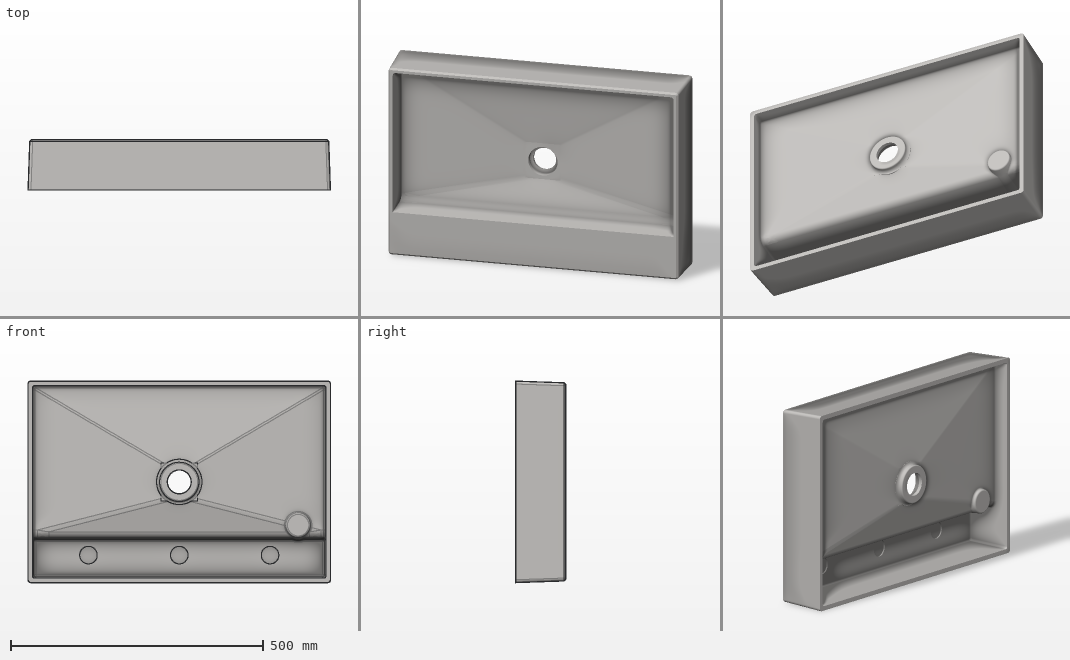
import cadquery as cq
import math

TOLERANCE = 0.1

LENGTH = 600.0
WIDTH = LENGTH * 2 / 3
DEPTH = LENGTH / 6
WALL = 9.0
DRAFT = 2.0
CORNER_RADIUS = 6.0
OPENING_RADIUS = 5.0
ROOT_RADIUS = 3.5
WALL_ZONE = 15.0
RIM_CHAMFER = 3.5

UNDERSIDE_Y = -DEPTH / 2
TOP_Y = DEPTH / 2
DECK_Y = TOP_Y - WALL
DRAFT_INSET = DEPTH * math.tan(math.radians(DRAFT))

FLOOR_EDGE_Y = -18.5
FLOOR_DRAIN_Y = -36.5
FLOOR_HALF_LENGTH = 317.0
FLOOR_TOP_Z = 203.0
FLOOR_BOTTOM_Z = -109.0
DRAIN_FLAT_LENGTH = 72.0
DRAIN_FLAT_WIDTH = 75.5
VALLEY_RADIUS = 36.0
BACK_WALL_DRAFT = 6.0
BACK_WALL_ROUND = 15.0

DRAIN_FACE_Y = -48.5
DRAIN_HOLE_RADIUS = 23.5
OUTLET_THICKNESS = 7.0
COLLAR_RADIUS = 39.0
COLLAR_ROOT_RADIUS = 6.0
COLLAR_EDGE_RADIUS = 2.5

OVERFLOW_X = 236.0
OVERFLOW_Z = -86.0
OVERFLOW_FACE_Y = -32.5
OVERFLOW_RADIUS = 24.0
OVERFLOW_EDGE_RADIUS = 3.0
OVERFLOW_ROOT_RADIUS = 2.5

TAP_SPACING = 180.0
TAP_Z = -145.0
TAP_RADIUS = 17.5
TAP_DEPTH = 3.0


def drafted_box(length, width, radius, y_start, y_end):
    """Round-cornered box that narrows by the draft angle from y_start to y_end."""
    direction = math.copysign(1, y_end - y_start)
    plane = cq.Plane(origin=(0, y_start, 0), xDir=(1, 0, 0), normal=(0, direction, 0))
    box = cq.Workplane(plane).rect(length, width).extrude(abs(y_end - y_start), taper=DRAFT)
    return box.edges("not(<Y or >Y)").fillet(radius)


def post(radius, y_face, y_root, x=0, z=0, taper=0):
    """Round post along Y, widening by the taper angle from y_face to y_root."""
    plane = cq.Plane(origin=(x, y_face, z), xDir=(1, 0, 0), normal=(0, 1, 0))
    return cq.Workplane(plane).circle(radius).extrude(y_root - y_face, taper=-taper)


def sharp_bowl_form(offset):
    """Solid below the bowl floor with its skin moved inwards by offset and its edges left sharp."""
    edge_y = FLOOR_EDGE_Y + offset
    drain_y = FLOOR_DRAIN_Y + offset
    bottom_z = FLOOR_BOTTOM_Z + offset
    flat_x = DRAIN_FLAT_LENGTH / 2
    flat_z = DRAIN_FLAT_WIDTH / 2
    flare = (TOP_Y - edge_y) * math.tan(math.radians(BACK_WALL_DRAFT))
    lengthwise_points = [
        (-FLOOR_HALF_LENGTH, TOP_Y),
        (-FLOOR_HALF_LENGTH, edge_y),
        (-flat_x, drain_y),
        (flat_x, drain_y),
        (FLOOR_HALF_LENGTH, edge_y),
        (FLOOR_HALF_LENGTH, TOP_Y),
    ]
    crosswise_points = [
        (TOP_Y, bottom_z - flare),
        (edge_y, bottom_z),
        (drain_y, -flat_z),
        (drain_y, flat_z),
        (edge_y, FLOOR_TOP_Z),
        (TOP_Y, FLOOR_TOP_Z),
    ]
    lengthwise = cq.Workplane("XY").polyline(lengthwise_points).close().extrude(WIDTH, both=True)
    crosswise = cq.Workplane("YZ").polyline(crosswise_points).close().extrude(LENGTH, both=True)
    return lengthwise.intersect(crosswise)


def is_valley(edge):
    """True for the edges that run slantwise from the drain's flat to the floor's corners."""
    tangent = edge.tangentAt(0)
    return min(abs(tangent.x), abs(tangent.z)) > TOLERANCE


def bowl_form(offset):
    """Bowl form with rounded valleys and back edge; the flat at the drain stays sharp."""
    form = sharp_bowl_form(offset)
    drain_block = cq.Workplane("XZ").rect(DRAIN_FLAT_LENGTH, DRAIN_FLAT_WIDTH).extrude(DEPTH, both=True)
    drain_flat = form.intersect(drain_block)
    form = form.cut(drain_block)
    form = form.newObject([e for e in form.edges().vals() if is_valley(e)]).fillet(VALLEY_RADIUS)
    back_edge = cq.selectors.NearestToPointSelector((0, FLOOR_EDGE_Y + offset, FLOOR_BOTTOM_Z + offset))
    return form.edges(back_edge).fillet(BACK_WALL_ROUND).union(drain_flat)


def is_floor_root(edge):
    """True for the edges where the bowl floor meets the outer walls."""
    center = edge.Center()
    box = edge.BoundingBox()
    beside_wall = abs(center.x) > LENGTH / 2 - WALL_ZONE or center.z > WIDTH / 2 - WALL_ZONE
    on_floor = box.ymin > FLOOR_DRAIN_Y and box.ymax < 0
    return beside_wall and on_floor and box.zmax > FLOOR_BOTTOM_Z + BACK_WALL_ROUND


def underside_cavity():
    """Hollow between the outer walls, left over by the bowl and the deck."""
    void = drafted_box(LENGTH - 2 * WALL, WIDTH - 2 * WALL, OPENING_RADIUS, UNDERSIDE_Y, DECK_Y)
    cavity = void.cut(bowl_form(0))
    cavity = cavity.newObject([e for e in cavity.edges().vals() if is_floor_root(e)]).fillet(ROOT_RADIUS)
    return cavity.faces(">Y").edges().fillet(ROOT_RADIUS)


def bowl_cavity():
    """Bowl one wall thickness inside the underside's skin, with a recess in the drain collar."""
    inset = 2 * (DRAFT_INSET + WALL)
    mouth = drafted_box(LENGTH - inset, WIDTH - inset, CORNER_RADIUS, TOP_Y, UNDERSIDE_Y)
    recess = post(COLLAR_RADIUS - WALL, DRAIN_FACE_Y + OUTLET_THICKNESS, 0)
    return mouth.intersect(bowl_form(WALL)).union(recess)


def drain_collar():
    """Outlet collar with a rounded face edge and a concave flare at its root."""
    root_radius = COLLAR_RADIUS + COLLAR_ROOT_RADIUS
    buried_y = FLOOR_DRAIN_Y + WALL
    flare_middle = COLLAR_ROOT_RADIUS * (1 - math.sqrt(0.5))
    collar = (
        cq.Workplane("XY")
        .moveTo(0, DRAIN_FACE_Y)
        .lineTo(COLLAR_RADIUS, DRAIN_FACE_Y)
        .lineTo(COLLAR_RADIUS, FLOOR_DRAIN_Y - COLLAR_ROOT_RADIUS)
        .threePointArc(
            (COLLAR_RADIUS + flare_middle, FLOOR_DRAIN_Y - flare_middle),
            (root_radius, FLOOR_DRAIN_Y),
        )
        .lineTo(root_radius, buried_y)
        .lineTo(0, buried_y)
        .close()
        .revolve(360, (0, 0, 0), (0, 1, 0))
    )
    return collar.faces("<Y").edges().fillet(COLLAR_EDGE_RADIUS)


def is_boss_root(edge):
    """True for the edges where the side of the overflow boss meets the bowl and the deck."""
    slope = math.tan(math.radians(BACK_WALL_DRAFT))

    def on_boss_side(point):
        side_radius = OVERFLOW_RADIUS + (point.y - OVERFLOW_FACE_Y) * slope
        return abs(math.hypot(point.x - OVERFLOW_X, point.z - OVERFLOW_Z) - side_radius) < TOLERANCE

    below_face = edge.Center().y > OVERFLOW_FACE_Y + OVERFLOW_EDGE_RADIUS + TOLERANCE
    curved = edge.geomType() != "LINE"
    return below_face and curved and all(on_boss_side(p) for p in edge.positions([0, 0.5, 1]))


def with_overflow_boss(body):
    """Body with the rounded overflow boss joined on and its root filleted."""
    boss = post(OVERFLOW_RADIUS, OVERFLOW_FACE_Y, DECK_Y, OVERFLOW_X, OVERFLOW_Z, BACK_WALL_DRAFT)
    joined = body.union(boss.faces("<Y").edges().fillet(OVERFLOW_EDGE_RADIUS))
    root_edges = [e for e in joined.edges().vals() if is_boss_root(e)]
    return joined.newObject(root_edges).fillet(OVERFLOW_ROOT_RADIUS)


shell = drafted_box(LENGTH, WIDTH, CORNER_RADIUS, UNDERSIDE_Y, TOP_Y)
shell = shell.faces(">Y").edges().chamfer(RIM_CHAMFER)
shell = shell.cut(underside_cavity())
shell = with_overflow_boss(shell).union(drain_collar())

drain_hole = post(DRAIN_HOLE_RADIUS, UNDERSIDE_Y, TOP_Y)
result = shell.cut(bowl_cavity()).cut(drain_hole)

for tap_x in (-TAP_SPACING, 0, TAP_SPACING):
    result = result.cut(post(TAP_RADIUS, UNDERSIDE_Y, DECK_Y + TAP_DEPTH, tap_x, TAP_Z))